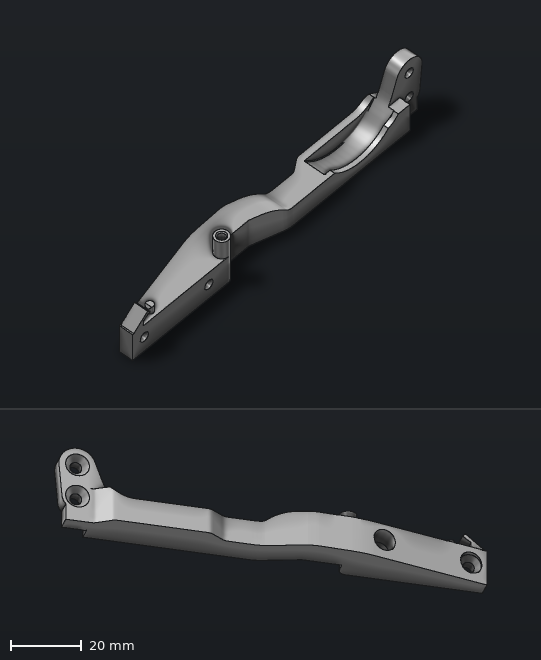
import cadquery as cq
import math

total_length = 126.5
block_width = 5.0
rail_right = 3.9
neck_left = -4.8
bulge_left = -8.1
elbow_left = -9.1

arm_height = 11.0
rail_height = 7.8

ledge_end = 117.1
heel_end = 124.5
bulge_rear = (116.2, 111.0)
bulge_front = (83.0, 78.0)
neck_bend = 67.9
right_neck_bend = 66.7
elbow_y = 53.1
arm_bend_x = -8.6
arm_bend_y = 38.5
right_elbow_y = 54.1
flare_radius = 3.2
neck_radius = 11.4
elbow_radius = 10.1
arm_radius = 35.4

arm_ramp_start = 57.8
arm_ramp_end = 65.9
rail_ramp_end = 67.4
rear_ramp_start = 105.1
rear_ramp_radius = 9.6

pocket_left = -5.6
pocket_right = 2.2
pocket_fillet = 0.3
pocket_radius = 18.3
scoop_depth = 1.6

ear_hole_y = 121.0
ear_radius = total_length - ear_hole_y
ear_top = 23.5
ear_hole_z = ear_top - ear_radius
ear_hole_pitch = 10.1
ear_foot_radius = 4.5
ear_root_y = 112.3
flank_angle = math.radians(20)
flank_bottom = 14.2
flank_top_y = ear_hole_y - ear_radius * math.cos(flank_angle)
flank_top_z = ear_hole_z + ear_radius * math.sin(flank_angle)
flank_bottom_y = flank_top_y - (flank_top_z - flank_bottom) * math.tan(flank_angle)

pocket_y = flank_bottom_y - pocket_radius * math.cos(flank_angle)
pocket_z = flank_bottom + pocket_radius * math.sin(flank_angle)

screw_diameter = 3.4
ear_sink_diameter = 7.0
arm_sink_diameter = 6.6
arm_hole_ys = (4.9, 31.9)
arm_hole_z = 6.0
arm_seat_x = 1.9

pin_x = block_width / 2
pin_y = 40.0
pin_diameter = 5.0
pin_bore = 2.7
pin_mouth = 3.4
pin_top = 18.0
drill_tip_angle = math.radians(59)
peg_diameter = 2.7
peg_y = 10.0
peg_top = 13.8
peg_chamfer = 0.8

hook_foot = (0.5, 4.7)
hook_neck_z = 13.0
hook_outer_tip = (6.3, 15.7)
hook_inner_tip = (7.2, 14.8)


def across(x_start, x_end, sketch):
    """Extrude a closed Y-Z sketch between two X positions."""
    return sketch(cq.Workplane("YZ", origin=(x_start, 0, 0))).extrude(x_end - x_start)


def cone_hole(x, y, z, mouth_diameter):
    """Cone along X that opens toward -X, with its wide mouth at x."""
    depth = (mouth_diameter - screw_diameter) / 2
    cone = cq.Solid.makeCone(mouth_diameter / 2, screw_diameter / 2, depth,
                             cq.Vector(x, y, z), cq.Vector(1, 0, 0))
    return cq.Workplane(cone)


def plan_body():
    """Full-height block with the outline of the lever, its bends rounded."""
    outline = [
        (0, 0), (block_width, 0), (block_width, pin_y), (pin_x, pin_y),
        (pin_x, pin_y + pin_diameter / 2), (0, pin_y + pin_diameter / 2),
        (0, right_elbow_y), (rail_right, right_neck_bend), (rail_right, ledge_end), (0, ledge_end),
        (0, heel_end), (neck_left, heel_end), (neck_left, bulge_rear[0]), (bulge_left, bulge_rear[1]),
        (bulge_left, bulge_front[0]), (neck_left, bulge_front[1]), (neck_left, neck_bend),
        (elbow_left, elbow_y), (arm_bend_x, arm_bend_y),
    ]
    body = cq.Workplane("XY").polyline(outline).close().extrude(arm_height)
    bends = [
        (neck_left, bulge_rear[0], flare_radius), (bulge_left, bulge_rear[1], flare_radius),
        (bulge_left, bulge_front[0], flare_radius), (neck_left, bulge_front[1], flare_radius),
        (neck_left, neck_bend, neck_radius), (rail_right, right_neck_bend, neck_radius),
        (elbow_left, elbow_y, elbow_radius), (arm_bend_x, arm_bend_y, arm_radius),
    ]
    for x, y, radius in bends:
        body = body.edges(cq.NearestToPointSelector((x, y, arm_height / 2))).fillet(radius)
    return body


def top_relief():
    """Space above the low rail, between the arm's ramp and the ear's ramp."""
    rise = arm_height - rail_height
    ramp_share = (arm_ramp_end - arm_ramp_start) / (rail_ramp_end - arm_ramp_start)
    ramp_joint = (arm_ramp_end, arm_height - rise * ramp_share)

    def rear_ramp_point(z):
        drop = rear_ramp_radius - (z - rail_height)
        return (rear_ramp_start + math.sqrt(rear_ramp_radius**2 - drop**2), z)

    def sketch(plane):
        return (
            plane.moveTo(rear_ramp_start, rail_height)
            .lineTo(rail_ramp_end, rail_height)
            .tangentArcPoint(ramp_joint, relative=False)
            .tangentArcPoint((arm_ramp_start, arm_height), relative=False)
            .lineTo(*rear_ramp_point(arm_height))
            .threePointArc(rear_ramp_point(rail_height + rise / 3), (rear_ramp_start, rail_height))
            .close()
        )

    return across(elbow_left, block_width, sketch)


def ear():
    """Upright plate with a round top and a rounded heel."""
    foot_z = ear_hole_z - ear_hole_pitch
    back_angle = math.asin((ear_radius - ear_foot_radius) / ear_hole_pitch)

    def rim(z, radius, angle):
        return (ear_hole_y + radius * math.cos(angle), z + radius * math.sin(angle))

    def sketch(plane):
        return (
            plane.moveTo(flank_bottom_y, flank_bottom)
            .lineTo(flank_top_y, flank_top_z)
            .threePointArc((ear_hole_y, ear_top), rim(ear_hole_z, ear_radius, -back_angle))
            .lineTo(*rim(foot_z, ear_foot_radius, -back_angle))
            .threePointArc(rim(foot_z, ear_foot_radius, -math.pi / 4), (ear_hole_y, foot_z - ear_foot_radius))
            .lineTo(ear_root_y, foot_z - ear_foot_radius)
            .lineTo(ear_root_y, arm_height)
            .close()
        )

    return across(neck_left, 0, sketch)


def hook():
    """Latch hook that leans rearward over the arm."""
    foot_front, foot_back = hook_foot
    profile = [
        (foot_front, arm_height), hook_outer_tip, hook_inner_tip,
        (foot_back, hook_neck_z), (foot_back, arm_height),
    ]
    return across(0, block_width, lambda plane: plane.polyline(profile).close())


def peg():
    """Short round peg with a flat chamfer toward the tip."""
    body = cq.Workplane("XY", origin=(pin_x, peg_y, arm_height)).circle(peg_diameter / 2)
    body = body.extrude(peg_top - arm_height)
    front = peg_y - peg_diameter / 2
    corner = [(front, peg_top - peg_chamfer), (front, peg_top), (front + peg_chamfer, peg_top)]
    return body.cut(across(0, block_width, lambda plane: plane.polyline(corner).close()))


def pin():
    """Tall round pin that also forms the corner of the arm."""
    return cq.Workplane("XY", origin=(pin_x, pin_y, 0)).circle(pin_diameter / 2).extrude(pin_top)


def pin_hole():
    """Blind bore with a drill tip and a chamfered mouth."""
    tip_depth = pin_bore / 2 / math.tan(drill_tip_angle)
    bore = cq.Workplane("XY", origin=(pin_x, pin_y, arm_height)).circle(pin_bore / 2)
    bore = bore.extrude(pin_top - arm_height)
    tip = cq.Solid.makeCone(pin_bore / 2, 0, tip_depth,
                            cq.Vector(pin_x, pin_y, arm_height), cq.Vector(0, 0, -1))
    chamfer = (pin_mouth - pin_bore) / 2
    mouth = cq.Solid.makeCone(pin_bore / 2, pin_mouth / 2, chamfer,
                              cq.Vector(pin_x, pin_y, pin_top - chamfer))
    return bore.union(cq.Workplane(tip)).union(cq.Workplane(mouth))


def disc(x_start, x_end, y, z, radius):
    """Cylinder along X."""
    return across(x_start, x_end, lambda plane: plane.center(y, z).circle(radius))


result = plan_body().cut(top_relief()).union(ear()).union(hook()).union(peg()).union(pin())
pocket = disc(pocket_left, pocket_right, pocket_y, pocket_z, pocket_radius).edges().fillet(pocket_fillet)
result = result.cut(pocket)
result = result.cut(disc(pocket_right, rail_right, pocket_y, pocket_z, pocket_radius - scoop_depth))
result = result.cut(pin_hole())

for z in (ear_hole_z, ear_hole_z - ear_hole_pitch):
    result = result.cut(disc(neck_left, 0, ear_hole_y, z, screw_diameter / 2))
    result = result.cut(cone_hole(neck_left, ear_hole_y, z, ear_sink_diameter))

cone_mouth = arm_seat_x - (arm_sink_diameter - screw_diameter) / 2
for y in arm_hole_ys:
    result = result.cut(disc(elbow_left, block_width, y, arm_hole_z, screw_diameter / 2))
    result = result.cut(disc(elbow_left, cone_mouth, y, arm_hole_z, arm_sink_diameter / 2))
    result = result.cut(cone_hole(cone_mouth, y, arm_hole_z, arm_sink_diameter))